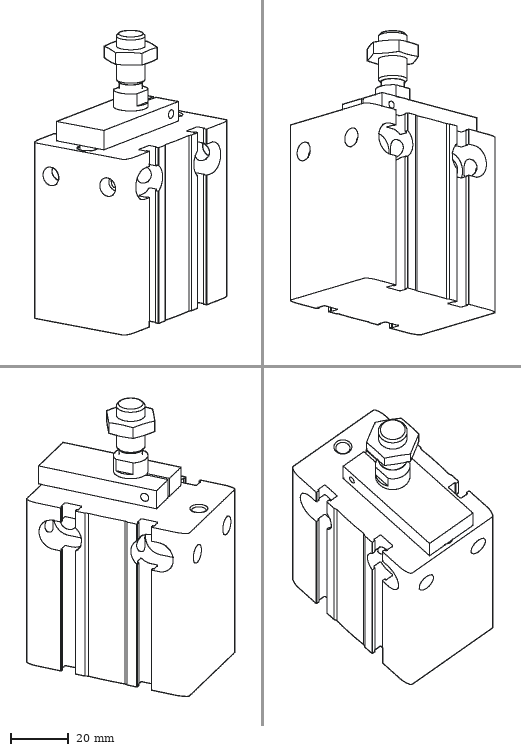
import cadquery as cq
import math


HOUSING_WIDTH = 40.0
HOUSING_DEPTH = 62.0
HOUSING_HEIGHT = 63.0
HALF_WIDTH = HOUSING_WIDTH / 2
HALF_DEPTH = HOUSING_DEPTH / 2
CURVE_START_Y = 26.5
CURVE_RADIUS = 10.0
CORNER_FILLET = 1.1

RECESS_OUTER_Y = 8.0
RECESS_FLOOR_Y = 7.0
RECESS_DEPTH = 0.4
RECESS_STEP_Y = 7.6
RECESS_STEP_DEPTH = 0.2
RECESS_CROWN = 0.2

SLOT_Y = 14.5
SLOT_MOUTH_WIDTH = 5.3
SLOT_INNER_WIDTH = 6.5
SLOT_LIP = 1.3
SLOT_DEPTH = 4.4
SLOT_MOUTH_CHAMFER = 0.2
SLOT_FLOOR_FILLET = 0.4

MOUNT_HOLE_DIAMETER = 6.6
MOUNT_HOLE_DROP = 11.0
MOUNT_HOLE_Z = HOUSING_HEIGHT - MOUNT_HOLE_DROP
FRONT_HOLE_X = 12.0
SIDE_HOLE_Y = 20.0
POCKET_DIAMETER = 11.2
POCKET_INNER_Y = 15.0
POCKET_DEPTH = 12.0

PORT_Y = 26.0
PORT_DIAMETER = 4.9
PORT_MOUTH_DIAMETER = 6.2
PORT_DEPTH = 10.0
DRILL_TIP_ANGLE = 118

PLATE_WIDTH = 20.0
PLATE_FRONT_Y = -30.5
PLATE_BACK_Y = 14.5
PLATE_GAP = 2.0
PLATE_THICKNESS = 7.0
PLATE_BOTTOM = HOUSING_HEIGHT + PLATE_GAP
PLATE_TOP = PLATE_BOTTOM + PLATE_THICKNESS
SLIT_WIDTH = 1.0

SCREW_DIAMETER = 3.0
SCREW_Y = 10.0
SCREW_Z = PLATE_BOTTOM + PLATE_THICKNESS / 2
SCREW_END_X = -5.0
PILOT_DIAMETER = 2.45

GUIDE_PIN_DIAMETER = 5.3
GUIDE_PIN_Y = -26.0
GUIDE_RECESS_DIAMETER = 7.3
GUIDE_RECESS_DEPTH = 0.5
GUIDE_PIN_BOTTOM = HOUSING_HEIGHT - GUIDE_RECESS_DEPTH

ROD_DIAMETER = 12.0
FLATS_WIDTH = 10.0
FLATS_BOTTOM = 73.6
COLLAR_TOP = 78.0
NECK_DIAMETER = 8.0
NECK_FILLET = 0.3
THREAD_DIAMETER = 10.0
THREAD_END_DIAMETER = 8.5
THREAD_START_Z = 80.8
THREAD_CHAMFER = 0.9
ROD_TOP = 98.0

NUT_ACROSS_FLATS = 16.0
NUT_BOTTOM = 88.8
NUT_HEIGHT = 4.8
NUT_FACE_DIAMETER = 14.5
NUT_CHAMFER_ANGLE = 10


def cylinder_z(diameter, bottom, top, y=0):
    return cq.Workplane("XY", origin=(0, y, bottom)).circle(diameter / 2).extrude(top - bottom)


def cylinder_x(diameter, start, end, y, z):
    return cq.Workplane("YZ", origin=(start, y, z)).circle(diameter / 2).extrude(end - start)


def housing_blank():
    """Upright block whose side faces curve inwards near the four rounded corners."""
    def inset(y):
        """Distance that the side face has curved in from its flat part."""
        return CURVE_RADIUS - math.sqrt(CURVE_RADIUS**2 - (y - CURVE_START_Y) ** 2)

    mid_y = (CURVE_START_Y + HALF_DEPTH) / 2
    mid_x = HALF_WIDTH - inset(mid_y)
    end_x = HALF_WIDTH - inset(HALF_DEPTH)
    blank = (
        cq.Workplane("XY")
        .moveTo(HALF_WIDTH, -CURVE_START_Y)
        .lineTo(HALF_WIDTH, CURVE_START_Y)
        .threePointArc((mid_x, mid_y), (end_x, HALF_DEPTH))
        .lineTo(-end_x, HALF_DEPTH)
        .threePointArc((-mid_x, mid_y), (-HALF_WIDTH, CURVE_START_Y))
        .lineTo(-HALF_WIDTH, -CURVE_START_Y)
        .threePointArc((-mid_x, -mid_y), (-end_x, -HALF_DEPTH))
        .lineTo(end_x, -HALF_DEPTH)
        .threePointArc((mid_x, -mid_y), (HALF_WIDTH, -CURVE_START_Y))
        .close()
        .extrude(HOUSING_HEIGHT)
    )
    return blank.edges("|Z").edges(">Y or <Y").fillet(CORNER_FILLET)


def side_recess():
    """Cutter for the recess in the +X face: a steep and a gentle ramp at each end of a convex floor."""
    step_x = HALF_WIDTH - RECESS_STEP_DEPTH
    floor_x = HALF_WIDTH - RECESS_DEPTH
    return (
        cq.Workplane("XY")
        .moveTo(HALF_WIDTH, -RECESS_OUTER_Y)
        .lineTo(step_x, -RECESS_STEP_Y)
        .lineTo(floor_x, -RECESS_FLOOR_Y)
        .threePointArc((floor_x + RECESS_CROWN, 0), (floor_x, RECESS_FLOOR_Y))
        .lineTo(step_x, RECESS_STEP_Y)
        .lineTo(HALF_WIDTH, RECESS_OUTER_Y)
        .close()
        .extrude(HOUSING_HEIGHT)
    )


def sensor_slot(y):
    """T-shaped cutter for the full-height slot in the +X face, with a chamfered mouth and rounded floor."""
    half_mouth = SLOT_MOUTH_WIDTH / 2
    inner_length = SLOT_DEPTH - SLOT_LIP
    inner = (
        cq.Workplane("XY")
        .box(inner_length, SLOT_INNER_WIDTH, HOUSING_HEIGHT, centered=(False, True, False))
        .edges("|Z and <X")
        .fillet(SLOT_FLOOR_FILLET)
    )
    mouth = (
        cq.Workplane("XY")
        .moveTo(inner_length, -half_mouth)
        .lineTo(SLOT_DEPTH - SLOT_MOUTH_CHAMFER, -half_mouth)
        .lineTo(SLOT_DEPTH, -half_mouth - SLOT_MOUTH_CHAMFER)
        .lineTo(SLOT_DEPTH, half_mouth + SLOT_MOUTH_CHAMFER)
        .lineTo(SLOT_DEPTH - SLOT_MOUTH_CHAMFER, half_mouth)
        .lineTo(inner_length, half_mouth)
        .close()
        .extrude(HOUSING_HEIGHT)
    )
    return inner.union(mouth).translate((HALF_WIDTH - SLOT_DEPTH, y, 0))


def side_pocket(side):
    """Oblong cutter around the side mounting hole in the +X face, on the +Y or -Y side."""
    length = SIDE_HOLE_Y - POCKET_INNER_Y + POCKET_DIAMETER
    centre_y = side * (SIDE_HOLE_Y + POCKET_INNER_Y) / 2
    return (
        cq.Workplane("YZ", origin=(HALF_WIDTH - POCKET_DEPTH, centre_y, MOUNT_HOLE_Z))
        .slot2D(length, POCKET_DIAMETER)
        .extrude(POCKET_DEPTH)
    )


def blind_port():
    """Drilled hole with a chamfered mouth and a conical bottom, as one turned cutter."""
    radius = PORT_DIAMETER / 2
    mouth_radius = PORT_MOUTH_DIAMETER / 2
    tip = radius / math.tan(math.radians(DRILL_TIP_ANGLE / 2))
    return (
        cq.Workplane("XZ", origin=(0, PORT_Y, HOUSING_HEIGHT))
        .moveTo(0, 0)
        .lineTo(mouth_radius, 0)
        .lineTo(radius, radius - mouth_radius)
        .lineTo(radius, -PORT_DEPTH)
        .lineTo(0, -PORT_DEPTH - tip)
        .close()
        .revolve(360, (0, 0), (0, 1))
    )


def make_housing():
    guide_recess = cylinder_z(GUIDE_RECESS_DIAMETER, GUIDE_PIN_BOTTOM, HOUSING_HEIGHT, GUIDE_PIN_Y)
    body = housing_blank().cut(blind_port()).cut(guide_recess)
    side_cutters = [side_recess()]
    for side in (-1, 1):
        side_cutters.append(sensor_slot(side * SLOT_Y))
        side_cutters.append(side_pocket(side))
    for cutter in side_cutters:
        body = body.cut(cutter).cut(cutter.mirror("YZ"))
    for side in (-1, 1):
        body = body.cut(
            cylinder_x(MOUNT_HOLE_DIAMETER, -HALF_WIDTH, HALF_WIDTH, side * SIDE_HOLE_Y, MOUNT_HOLE_Z)
        )
        front_hole = (
            cq.Workplane("XZ", origin=(side * FRONT_HOLE_X, HALF_DEPTH, MOUNT_HOLE_Z))
            .circle(MOUNT_HOLE_DIAMETER / 2)
            .extrude(HOUSING_DEPTH)
        )
        body = body.cut(front_hole)
    return body


def make_plate():
    """Plate clamped round the rod: rod bore, slit to the back edge and screw hole."""
    half_width = PLATE_WIDTH / 2
    body = cq.Workplane("XY", origin=(0, PLATE_FRONT_Y, PLATE_BOTTOM)).box(
        PLATE_WIDTH, PLATE_BACK_Y - PLATE_FRONT_Y, PLATE_THICKNESS, centered=(True, False, False)
    )
    slit = cq.Workplane("XY", origin=(0, 0, PLATE_BOTTOM)).box(
        SLIT_WIDTH, PLATE_BACK_Y, PLATE_THICKNESS, centered=(True, False, False)
    )
    return (
        body.cut(slit)
        .cut(cylinder_z(ROD_DIAMETER, PLATE_BOTTOM, PLATE_TOP))
        .cut(cylinder_x(PILOT_DIAMETER, -half_width, half_width, SCREW_Y, SCREW_Z))
        .cut(make_screw())
    )


def make_screw():
    """Plain shank reaching from the +X side of the plate into the far clamp lug."""
    return cylinder_x(SCREW_DIAMETER, SCREW_END_X, PLATE_WIDTH / 2, SCREW_Y, SCREW_Z)


def make_guide_pin():
    return cylinder_z(GUIDE_PIN_DIAMETER, GUIDE_PIN_BOTTOM, PLATE_BOTTOM, GUIDE_PIN_Y)


def make_rod():
    """Turned rod with a filleted neck, a chamfered thread and two wrench flats facing X."""
    rod_radius = ROD_DIAMETER / 2
    neck_radius = NECK_DIAMETER / 2
    thread_radius = THREAD_DIAMETER / 2
    end_radius = THREAD_END_DIAMETER / 2
    body = (
        cq.Workplane("XZ")
        .moveTo(0, HOUSING_HEIGHT)
        .lineTo(rod_radius, HOUSING_HEIGHT)
        .lineTo(rod_radius, COLLAR_TOP)
        .lineTo(neck_radius + NECK_FILLET, COLLAR_TOP)
        .radiusArc((neck_radius, COLLAR_TOP + NECK_FILLET), NECK_FILLET)
        .lineTo(neck_radius, THREAD_START_Z)
        .lineTo(end_radius, THREAD_START_Z)
        .lineTo(thread_radius, THREAD_START_Z + THREAD_CHAMFER)
        .lineTo(thread_radius, ROD_TOP - THREAD_CHAMFER)
        .lineTo(end_radius, ROD_TOP)
        .lineTo(0, ROD_TOP)
        .close()
        .revolve(360, (0, 0), (0, 1))
    )
    flat_depth = (ROD_DIAMETER - FLATS_WIDTH) / 2
    flat = cq.Workplane("XY", origin=(FLATS_WIDTH / 2, 0, FLATS_BOTTOM)).box(
        flat_depth, ROD_DIAMETER, COLLAR_TOP - FLATS_BOTTOM, centered=(False, True, False)
    )
    return body.cut(flat).cut(flat.mirror("YZ"))


def make_nut():
    """Hexagon with corners on the Y axis, both faces chamfered by a cone."""
    corner_radius = NUT_ACROSS_FLATS / math.sqrt(3)
    face_radius = NUT_FACE_DIAMETER / 2
    drop = (corner_radius - face_radius) * math.tan(math.radians(NUT_CHAMFER_ANGLE))
    hexagon = (
        cq.Workplane("XY", origin=(0, 0, NUT_BOTTOM))
        .polygon(6, 2 * corner_radius)
        .extrude(NUT_HEIGHT)
        .rotate((0, 0, 0), (0, 0, 1), 90)
    )
    envelope = (
        cq.Workplane("XZ", origin=(0, 0, NUT_BOTTOM))
        .moveTo(0, 0)
        .lineTo(face_radius, 0)
        .lineTo(corner_radius, drop)
        .lineTo(corner_radius, NUT_HEIGHT - drop)
        .lineTo(face_radius, NUT_HEIGHT)
        .lineTo(0, NUT_HEIGHT)
        .close()
        .revolve(360, (0, 0), (0, 1))
    )
    bore = cylinder_z(THREAD_DIAMETER, NUT_BOTTOM, NUT_BOTTOM + NUT_HEIGHT)
    return hexagon.intersect(envelope).cut(bore)


housing = make_housing()
plate = make_plate()
screw = make_screw()
guide_pin = make_guide_pin()
rod = make_rod()
nut = make_nut()

result = cq.Compound.makeCompound(
    [housing.val(), plate.val(), screw.val(), guide_pin.val(), rod.val(), nut.val()]
)